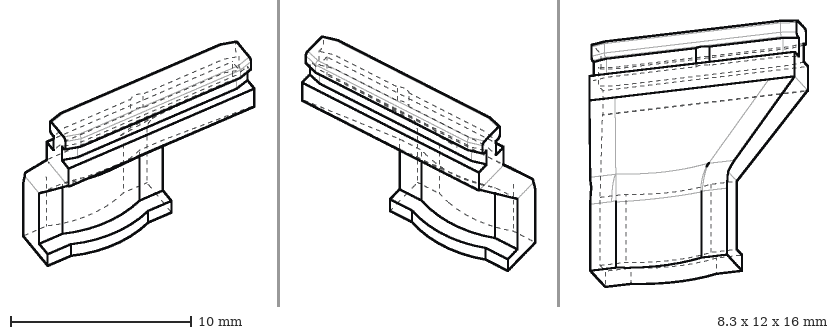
import cadquery as cq

HEIGHT = 16.0
LIP_HEIGHT = 0.95
BEND_Z = 5.0
BLOCK_BOTTOM_Z = 12.5
NECK_BOTTOM_Z = 13.95
HEAD_BOTTOM_Z = 15.05

FOOT_THICKNESS = 1.75
FOOT_WIDTH = 8.0
BEND_RADIUS = 3.0
DISH_DEPTH = 0.5
RIM_WIDTH = 1.5
LIP_REACH = 0.93

TOP_WIDTH = 12.0
BLOCK_LEFT_X = 5.9
BLOCK_THICKNESS = 2.4
ARM_SETBACK = 0.08
HEAD_THICKNESS = 2.2
NECK_THICKNESS = 1.4
END_TAPER_LENGTH = 0.85
END_TAPER_INSET = 0.25
HEAD_FILLET = 0.2

RIB_Y = -0.46
RIB_WIDTH = 0.8
RIB_HEIGHT = 0.15

BLOCK_CENTER_X = BLOCK_LEFT_X + BLOCK_THICKNESS / 2
FOOT_DISH_HALF = FOOT_WIDTH / 2 - RIM_WIDTH
TOP_DISH_HALF = TOP_WIDTH / 2 - RIM_WIDTH


def plate_section(z, front_x, back_x, dish_half, dish_depth):
    """Horizontal slice of the plate, full width, dished by dish_depth (flat when zero)."""
    half = TOP_WIDTH / 2

    def across(sketch, x, end_y):
        if dish_depth == 0:
            return sketch.lineTo(x, end_y)
        return sketch.threePointArc((x + dish_depth, 0), (x, end_y))

    sketch = cq.Workplane("XY", origin=(0, 0, z)).moveTo(front_x, -half).lineTo(front_x, -dish_half)
    sketch = across(sketch, front_x, dish_half)
    sketch = sketch.lineTo(front_x, half).lineTo(back_x, half).lineTo(back_x, dish_half)
    sketch = across(sketch, back_x, -dish_half)
    return sketch.lineTo(back_x, -half).close()


def make_plate():
    """Upright foot with its lip and the sloping arm, trimmed to the flared outline."""
    foot = plate_section(0, 0, FOOT_THICKNESS, FOOT_DISH_HALF, DISH_DEPTH).extrude(BEND_Z)
    bottom = plate_section(BEND_Z, 0, FOOT_THICKNESS, FOOT_DISH_HALF, DISH_DEPTH)
    arm_back_x = BLOCK_LEFT_X + BLOCK_THICKNESS - ARM_SETBACK
    top = plate_section(BLOCK_BOTTOM_Z, BLOCK_LEFT_X, arm_back_x, TOP_DISH_HALF, 0)
    arm = cq.Workplane(cq.Solid.makeLoft([bottom.val(), top.val()], True))

    plate = foot.union(arm)
    front_bend = cq.selectors.BoxSelector(
        (-DISH_DEPTH, -TOP_WIDTH, BEND_Z - DISH_DEPTH),
        (2 * DISH_DEPTH, TOP_WIDTH, BEND_Z + DISH_DEPTH),
    )
    plate = plate.edges(front_bend).fillet(BEND_RADIUS)

    lip_back_x = FOOT_THICKNESS + LIP_REACH
    lip = plate_section(0, 0, lip_back_x, FOOT_DISH_HALF, DISH_DEPTH).extrude(LIP_HEIGHT)

    half_outline = [
        (FOOT_WIDTH / 2, 0),
        (FOOT_WIDTH / 2, BEND_Z),
        (TOP_WIDTH / 2, BLOCK_BOTTOM_Z),
    ]
    mirrored = [(-y, z) for y, z in reversed(half_outline)]
    outline = cq.Workplane("YZ").polyline(half_outline + mirrored).close().extrude(HEIGHT)
    return plate.union(lip).intersect(outline)


def tapered_bar(thickness, bottom_z, top_z):
    """Bar along Y, centred over the block, whose two ends narrow in X."""
    half = thickness / 2
    end_half = half - END_TAPER_INSET
    length_half = TOP_WIDTH / 2
    straight_half = length_half - END_TAPER_LENGTH
    points = [
        (end_half, -length_half),
        (half, -straight_half),
        (half, straight_half),
        (end_half, length_half),
        (-end_half, length_half),
        (-half, straight_half),
        (-half, -straight_half),
        (-end_half, -length_half),
    ]
    plane = cq.Workplane("XY", origin=(BLOCK_CENTER_X, 0, bottom_z))
    return plane.polyline(points).close().extrude(top_z - bottom_z)


def make_head():
    """Top bar with its long and tapered edges rounded; the end edges stay sharp."""
    head = tapered_bar(HEAD_THICKNESS, HEAD_BOTTOM_Z, HEIGHT)
    return head.faces("|Z").edges("not(<Y or >Y)").fillet(HEAD_FILLET)


def make_rib():
    """Shallow arc-shaped rib standing on the front of the neck."""
    neck_front_x = BLOCK_CENTER_X - NECK_THICKNESS / 2
    return (
        cq.Workplane("XY", origin=(neck_front_x, RIB_Y, NECK_BOTTOM_Z))
        .moveTo(0, -RIB_WIDTH / 2)
        .threePointArc((-RIB_HEIGHT, 0), (0, RIB_WIDTH / 2))
        .lineTo(NECK_THICKNESS / 2, RIB_WIDTH / 2)
        .lineTo(NECK_THICKNESS / 2, -RIB_WIDTH / 2)
        .close()
        .extrude(HEAD_BOTTOM_Z - NECK_BOTTOM_Z)
    )


block = cq.Workplane("XY", origin=(BLOCK_CENTER_X, 0, BLOCK_BOTTOM_Z)).box(
    BLOCK_THICKNESS, TOP_WIDTH, NECK_BOTTOM_Z - BLOCK_BOTTOM_Z, centered=(True, True, False)
)
neck = tapered_bar(NECK_THICKNESS, NECK_BOTTOM_Z, HEAD_BOTTOM_Z)

result = make_plate().union(block).union(neck).union(make_rib()).union(make_head())